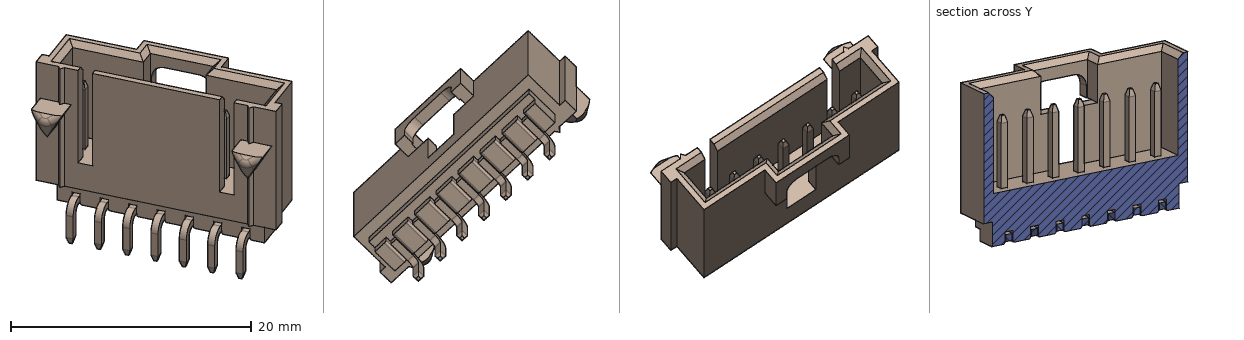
import cadquery as cq
import math


PIN_COUNT = 7
PIN_PITCH = 2.55
PIN_SIZE = 0.65
PIN_TIP_SIZE = 0.28
PIN_TIP_LENGTH = 0.6
PIN_ROW_Y = 2.61
PIN_FRONT_Y = -0.35
PIN_TOP_Z = 8.85
PIN_BOTTOM_Z = -5.31
PIN_ARM_TOP_Z = -1.32
PIN_BEND_INNER_RADIUS = 0.6

SHROUD_HEIGHT = 11.45
SHROUD_WIDTH = 20.34
SHROUD_DEPTH = 5.1
WALL = 1.0
FRONT_WALL = 1.05
FLOOR_Z = 2.53
MOUTH_CHAMFER = 0.5

FLANGE_WIDTH = 21.6
FLANGE_THICKNESS = 1.34

BUMP_WIDTH = 7.65
BUMP_BACK_Y = 6.65
BUMP_BOTTOM_Z = 7.6
WINDOW_WIDTH = 5.45
WINDOW_TOP_Z = 9.85
WINDOW_CORNER_RADIUS = 1.19
KEYWAY_WIDTH = 2.98

SLOT_WIDTH = 1.3
SLOT_CENTER_X = 6.37
RIB_CENTER_X = 8.5
RIB_WIDTH = 0.52
RIB_HEIGHT = 0.37

PEG_CENTER_X = 9.02
PEG_SIDE = 2.79
PEG_TOP_Z = 8.0
PEG_SHOULDER = 2.15
PEG_UPPER_RIDGE_RADIUS = 0.6
PEG_LOWER_RIDGE_RADIUS = 1.0

BASE_WIDTH = 18.65
BASE_BACK_Y = 4.15
BASE_STEP_Y = 3.43
BASE_STEP_DEPTH = 1.1
BASE_DEPTH = 2.15
NOTCH_WIDTH = 0.73
NOTCH_FLARE = 0.22

PIN_XS = [(i - (PIN_COUNT - 1) / 2) * PIN_PITCH for i in range(PIN_COUNT)]
CAVITY_WIDTH = SHROUD_WIDTH - 2 * WALL
CAVITY_BACK_Y = SHROUD_DEPTH - WALL
BUMP_CAVITY_WIDTH = BUMP_WIDTH - 2 * WALL
BUMP_CAVITY_BACK_Y = BUMP_BACK_Y - WALL


def block(width, y_range, z_range, center_x=0):
    """A box centred on center_x and spanning the given Y and Z ranges."""
    depth = y_range[1] - y_range[0]
    height = z_range[1] - z_range[0]
    corner = (center_x - width / 2, y_range[0], z_range[0])
    return cq.Workplane("XY").box(width, depth, height, centered=False).translate(corner)


def shroud_body():
    shell = block(SHROUD_WIDTH, (0, SHROUD_DEPTH), (0, SHROUD_HEIGHT))
    flange = block(FLANGE_WIDTH, (0, FLANGE_THICKNESS), (0, SHROUD_HEIGHT))
    bump = block(BUMP_WIDTH, (CAVITY_BACK_Y, BUMP_BACK_Y), (BUMP_BOTTOM_Z, SHROUD_HEIGHT))
    return shell.union(flange).union(bump)


def base():
    """Stepped block below the shroud."""
    upper = block(BASE_WIDTH, (FRONT_WALL, BASE_BACK_Y), (-BASE_STEP_DEPTH, 0))
    lower = block(BASE_WIDTH, (FRONT_WALL, BASE_STEP_Y), (-BASE_DEPTH, 0))
    return upper.union(lower)


def flared_pocket(width, back_y, floor_z):
    """Rectangular pocket behind the front wall whose mouth widens at 45 degrees."""
    pocket = block(width, (FRONT_WALL, back_y), (floor_z, SHROUD_HEIGHT))
    mouth = (
        cq.Workplane("XY", origin=(0, (FRONT_WALL + back_y) / 2, SHROUD_HEIGHT))
        .rect(width + 2 * MOUTH_CHAMFER, back_y - FRONT_WALL + 2 * MOUTH_CHAMFER)
        .extrude(-MOUTH_CHAMFER, taper=45)
    )
    return pocket.union(mouth)


def cavity():
    """Space inside the shroud and the bump, with the keyway below the bump."""
    main = flared_pocket(CAVITY_WIDTH, CAVITY_BACK_Y, FLOOR_Z)
    bump = flared_pocket(BUMP_CAVITY_WIDTH, BUMP_CAVITY_BACK_Y, BUMP_BOTTOM_Z)
    keyway = block(KEYWAY_WIDTH, (FRONT_WALL, SHROUD_DEPTH), (FLOOR_Z, BUMP_BOTTOM_Z))
    return main.union(bump).union(keyway)


def bump_window():
    """Opening in the back of the bump with rounded upper corners."""
    window = block(
        WINDOW_WIDTH, (BUMP_CAVITY_BACK_Y, BUMP_BACK_Y), (BUMP_BOTTOM_Z, WINDOW_TOP_Z)
    )
    return window.edges("|Y and >Z").fillet(WINDOW_CORNER_RADIUS)


def front_slot(center_x):
    return block(SLOT_WIDTH, (0, FRONT_WALL), (FLOOR_Z, SHROUD_HEIGHT), center_x)


def rib(center_x):
    """Pointed upright rib on the mounting face."""
    return (
        cq.Workplane("XY")
        .polyline([
            (center_x - RIB_WIDTH / 2, 0),
            (center_x, -RIB_HEIGHT),
            (center_x + RIB_WIDTH / 2, 0),
        ])
        .close()
        .extrude(SHROUD_HEIGHT)
    )


def triangle_corners(side, y):
    """Corners of an equilateral triangle standing on its point, centred at depth y."""
    inradius = side / (2 * math.sqrt(3))
    return [(-side / 2, y, inradius), (side / 2, y, inradius), (0, y, -2 * inradius)]


def flat_face(corners):
    outline = cq.Wire.makePolygon([cq.Vector(*corner) for corner in corners], close=True)
    return cq.Face.makeFromWires(outline)


def triangular_pyramid(side, apex_y):
    """Pyramid on a triangle at Y = 0 with its apex at apex_y."""
    a, b, c = triangle_corners(side, 0)
    apex = (0, apex_y, 0)
    faces = [flat_face(corners) for corners in [(a, b, c), (a, b, apex), (b, c, apex), (c, a, apex)]]
    return cq.Solid.makeSolid(cq.Shell.makeShell(faces))


def peg(center_x):
    """Triangular peg whose tip is a 45 degree pyramid with rounded ridges and apex."""
    inradius = PEG_SIDE / (2 * math.sqrt(3))
    apex = PEG_SHOULDER + inradius
    section = flat_face(triangle_corners(PEG_SIDE, 0))
    prism = cq.Workplane(cq.Solid.extrudeLinear(section, cq.Vector(0, -apex, 0)))
    pyramid = cq.Workplane(triangular_pyramid(PEG_SIDE * apex / inradius, -apex))
    rounded = (
        pyramid.edges("<Z")
        .fillet(PEG_LOWER_RIDGE_RADIUS)
        .edges(">>Z[-2]")
        .fillet(PEG_UPPER_RIDGE_RADIUS)
    )
    return prism.intersect(rounded).translate((center_x, 0, PEG_TOP_Z - inradius))


def notch(center_x):
    """Slot under the base for one pin arm, with rounded lower edges."""
    half = NOTCH_WIDTH / 2
    return (
        cq.Workplane("XZ", origin=(center_x, FRONT_WALL, 0))
        .moveTo(-half - NOTCH_FLARE, -BASE_DEPTH)
        .radiusArc((-half, -BASE_DEPTH + NOTCH_FLARE), -NOTCH_FLARE)
        .lineTo(-half, -BASE_STEP_DEPTH)
        .lineTo(half, -BASE_STEP_DEPTH)
        .lineTo(half, -BASE_DEPTH + NOTCH_FLARE)
        .radiusArc((half + NOTCH_FLARE, -BASE_DEPTH), -NOTCH_FLARE)
        .close()
        .extrude(FRONT_WALL - BASE_STEP_Y)
    )


def pin_hole(center_x):
    """Square hole for a mating leg through the floor and base."""
    half = PIN_SIZE / 2
    return block(PIN_SIZE, (PIN_ROW_Y - half, PIN_ROW_Y + half), (-BASE_DEPTH, FLOOR_Z), center_x)


def make_housing():
    body = shroud_body().union(base()).cut(cavity()).cut(bump_window())
    for side in (-1, 1):
        body = body.cut(front_slot(side * SLOT_CENTER_X))
        body = body.union(rib(side * RIB_CENTER_X))
        body = body.union(peg(side * PEG_CENTER_X))
    for x in PIN_XS:
        body = body.cut(notch(x)).cut(pin_hole(x))
    return body


def pin_tip(x, y, z, length):
    """Tapered square end growing from height z; a negative length points down."""
    return (
        cq.Workplane("XY", origin=(x, y, z))
        .rect(PIN_SIZE, PIN_SIZE)
        .workplane(offset=length)
        .rect(PIN_TIP_SIZE, PIN_TIP_SIZE)
        .loft(ruled=True)
    )


def make_pin(x):
    """Mating leg, horizontal arm, rounded bend and solder leg, tapered at both ends."""
    half = PIN_SIZE / 2
    leg_front_y = PIN_ROW_Y - half
    leg_back_y = PIN_ROW_Y + half
    leg_top_z = PIN_TOP_Z - PIN_TIP_LENGTH
    arm_bottom_z = PIN_ARM_TOP_Z - PIN_SIZE
    solder_back_y = PIN_FRONT_Y + PIN_SIZE
    solder_bottom_z = PIN_BOTTOM_Z + PIN_TIP_LENGTH
    outer_radius = PIN_BEND_INNER_RADIUS + PIN_SIZE
    bend_y = PIN_FRONT_Y + outer_radius
    bend_z = PIN_ARM_TOP_Z - outer_radius

    body = (
        cq.Workplane("YZ", origin=(x - half, 0, 0))
        .moveTo(leg_back_y, leg_top_z)
        .lineTo(leg_front_y, leg_top_z)
        .lineTo(leg_front_y, PIN_ARM_TOP_Z)
        .lineTo(bend_y, PIN_ARM_TOP_Z)
        .radiusArc((PIN_FRONT_Y, bend_z), -outer_radius)
        .lineTo(PIN_FRONT_Y, solder_bottom_z)
        .lineTo(solder_back_y, solder_bottom_z)
        .lineTo(solder_back_y, bend_z)
        .radiusArc((bend_y, arm_bottom_z), PIN_BEND_INNER_RADIUS)
        .lineTo(leg_back_y, arm_bottom_z)
        .close()
        .extrude(PIN_SIZE)
    )
    mating_tip = pin_tip(x, PIN_ROW_Y, leg_top_z, PIN_TIP_LENGTH)
    solder_tip = pin_tip(x, PIN_FRONT_Y + half, solder_bottom_z, -PIN_TIP_LENGTH)
    return body.union(mating_tip).union(solder_tip)


housing = make_housing()
pins = [make_pin(x) for x in PIN_XS]

result = cq.Compound.makeCompound([housing.val(), *[pin.val() for pin in pins]])